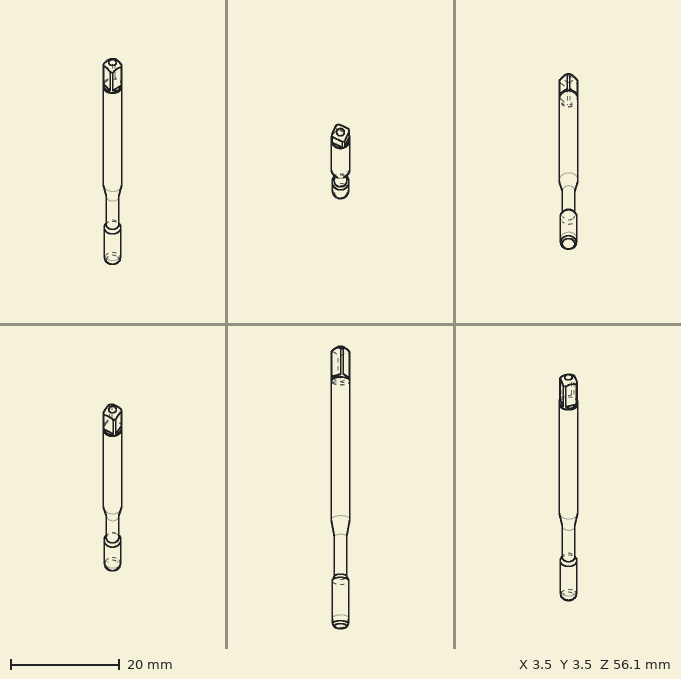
import cadquery as cq

TOTAL_LENGTH = 56.1

HEAD_DIAMETER = 3.1
LEAD_DIAMETER = 2.9
TIP_DIAMETER = 2.3
TIP_CHAMFER_HEIGHT = 0.45
LEAD_TOP = 1.6
HEAD_CYLINDER_TOP = 9.15
HEAD_TOP = 10.0

NECK_DIAMETER = 2.3
SHANK_DIAMETER = 3.5
NECK_TOP = 18.05
SHANK_BOTTOM = 21.55
SHANK_TOP = 49.4

SQUARE_DIAMETER = 3.35
SHANK_CHAMFER_HEIGHT = 0.05
SQUARE_ACROSS_FLATS = 2.7
FLAT_BOTTOM = 50.1
END_DIAMETER = 1.4
END_CONE_HEIGHT = 0.85
FLAT_COUNT = 4


def revolve_profile(steps):
    """Revolve (diameter, height) steps, listed upwards, about the Z axis."""
    points = [(diameter / 2, height) for diameter, height in steps]
    bottom = (0, points[0][1])
    top = (0, points[-1][1])
    outline = [bottom] + points + [top]
    return cq.Workplane("XZ").polyline(outline).close().revolve(360, (0, 0), (0, 1))


def make_threading_head():
    """Plain threading head with a tip chamfer, a tapered lead and a conical back."""
    return revolve_profile([
        (TIP_DIAMETER, 0),
        (LEAD_DIAMETER, TIP_CHAMFER_HEIGHT),
        (HEAD_DIAMETER, LEAD_TOP),
        (HEAD_DIAMETER, HEAD_CYLINDER_TOP),
        (NECK_DIAMETER, HEAD_TOP),
    ])


def make_flat_cutter():
    """Cutter for the flat on the +X side, ending in a floor that slopes 45 degrees."""
    flat_x = SQUARE_ACROSS_FLATS / 2
    outer_x = SHANK_DIAMETER / 2
    floor_drop = outer_x - flat_x
    outline = [
        (flat_x, FLAT_BOTTOM),
        (outer_x, FLAT_BOTTOM - floor_drop),
        (outer_x, TOTAL_LENGTH),
        (flat_x, TOTAL_LENGTH),
    ]
    return cq.Workplane("XZ").polyline(outline).close().extrude(outer_x, both=True)


def make_shank():
    """Neck, shank and driving square in one piece."""
    shank = revolve_profile([
        (NECK_DIAMETER, HEAD_TOP),
        (NECK_DIAMETER, NECK_TOP),
        (SHANK_DIAMETER, SHANK_BOTTOM),
        (SHANK_DIAMETER, SHANK_TOP),
        (SQUARE_DIAMETER, SHANK_TOP + SHANK_CHAMFER_HEIGHT),
        (SQUARE_DIAMETER, TOTAL_LENGTH - END_CONE_HEIGHT),
        (END_DIAMETER, TOTAL_LENGTH),
    ])
    cutter = make_flat_cutter()
    for index in range(FLAT_COUNT):
        angle = index * 360 / FLAT_COUNT
        shank = shank.cut(cutter.rotate((0, 0, 0), (0, 0, 1), angle))
    return shank


threading_head = make_threading_head()
shank = make_shank()

result = cq.Compound.makeCompound([threading_head.val(), shank.val()])